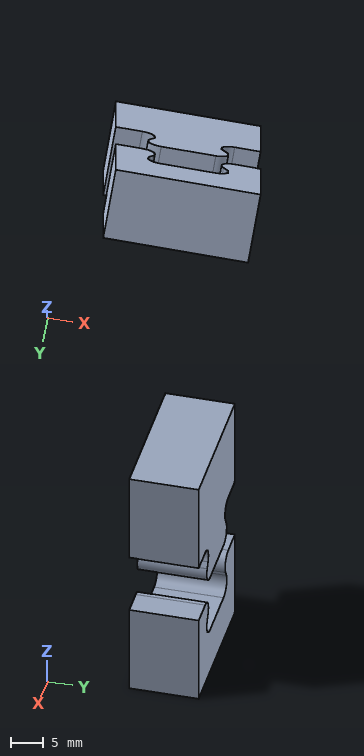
import cadquery as cq
import math

width = 22.45
depth = 10.95
block_height = 15.0
block_gap = 10.0

neck_width = 10.3
fillet_radius = 2.0
flank_angle = math.radians(30)
flank_spread = 4.0
tail_height = flank_spread / math.tan(flank_angle)

neck_center_x = neck_width / 2 + fillet_radius
neck_center_z = -fillet_radius
tip_center_z = -tail_height + fillet_radius

tangent_dx = fillet_radius * math.cos(flank_angle)
tangent_dz = fillet_radius * math.sin(flank_angle)
flank_top_x = neck_center_x - tangent_dx
flank_top_z = neck_center_z - tangent_dz
flank_bottom_z = tip_center_z + tangent_dz
flank_bottom_x = flank_top_x + (flank_top_z - flank_bottom_z) * math.tan(flank_angle)
tip_center_x = flank_bottom_x - tangent_dx


def dovetail(face_z):
    """Dovetail prism hanging below a mating face at height face_z."""

    def at(x, z):
        return (x, face_z + z)

    return (
        cq.Workplane("XZ")
        .moveTo(*at(-neck_center_x, 0))
        .lineTo(*at(neck_center_x, 0))
        .threePointArc(
            at(neck_center_x - fillet_radius, neck_center_z),
            at(flank_top_x, flank_top_z),
        )
        .lineTo(*at(flank_bottom_x, flank_bottom_z))
        .threePointArc(
            at(tip_center_x + tangent_dz, tip_center_z - tangent_dx),
            at(tip_center_x, -tail_height),
        )
        .lineTo(*at(-tip_center_x, -tail_height))
        .threePointArc(
            at(-tip_center_x - tangent_dz, tip_center_z - tangent_dx),
            at(-flank_bottom_x, flank_bottom_z),
        )
        .lineTo(*at(-flank_top_x, flank_top_z))
        .threePointArc(
            at(-neck_center_x + fillet_radius, neck_center_z),
            at(-neck_center_x, 0),
        )
        .close()
        .extrude(depth / 2, both=True)
    )


def block(bottom_z):
    """Plain rectangular block standing on height bottom_z."""
    return (
        cq.Workplane("XY")
        .workplane(offset=bottom_z)
        .rect(width, depth)
        .extrude(block_height)
    )


socket_body = block(0).cut(dovetail(block_height))

upper_face_z = block_height + block_gap
tail_body = block(upper_face_z).union(dovetail(upper_face_z))

result = cq.Compound.makeCompound([socket_body.val(), tail_body.val()])